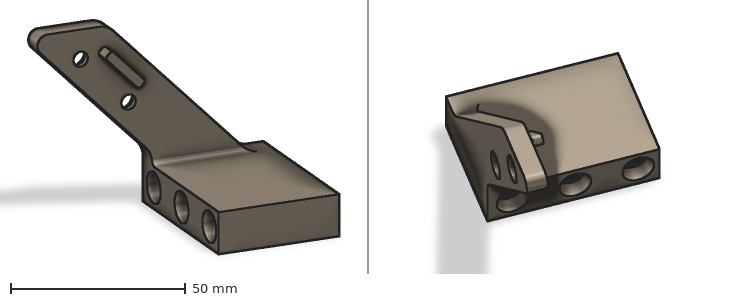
import cadquery as cq
import math

base_length = 52.05
base_depth = 38.1
base_height = 12.8

arm_thickness = 6.3
total_height = 57.2
total_depth = 74.25
arm_bend_radius = 6.35
arm_tip_radius = 3.2
upper_edge_sum = 43.1
root_fillet = 2.0

base_hole_diameter = 5.1
base_bore_diameter = 9.5
base_bore_depth = 5.0
base_hole_count = 3
base_hole_spacing = 19.0
first_base_hole_x = 7.6

arm_hole_diameter = 4.5
arm_bore_diameter = 8.25
arm_bore_depth = 4.0
arm_hole_mid_y = -14.9
arm_hole_mid_z = 40.6
arm_hole_offset = 7.6

key_length = 15.3
key_width = 3.1
key_corner_radius = 1.2
key_height = 5.1
key_shift = 4.2


def make_arm_prism(thickness):
    """Extrude the arm outline along X, with its bends and tip rounded."""
    foot = (upper_edge_sum - base_height, base_height)
    shoulder = (upper_edge_sum - total_height, total_height)
    tip_setback = arm_tip_radius / math.tan(math.radians(22.5))
    tip_y = base_depth - total_depth + arm_tip_radius - tip_setback
    tip = (tip_y, total_height)
    lower_bend = (0, total_height + tip_y)
    prism = (
        cq.Workplane("YZ")
        .polyline([(0, 0), (base_depth, 0), (base_depth, base_height), foot, shoulder, tip, lower_bend])
        .close()
        .extrude(thickness)
    )
    for corners, radius in (([foot, shoulder, lower_bend], arm_bend_radius), ([tip], arm_tip_radius)):
        for y, z in corners:
            edge = cq.selectors.NearestToPointSelector((thickness / 2, y, z))
            prism = prism.edges("|X").edges(edge).fillet(radius)
    return prism


def make_root_fillet():
    """Concave strip between arm and base, mitred where the arm outline runs out."""
    outer_x = arm_thickness + root_fillet
    top_z = base_height + root_fillet
    bulge = root_fillet * (1 - math.sqrt(0.5))
    strip = (
        cq.Workplane("XZ")
        .moveTo(0, base_height)
        .lineTo(outer_x, base_height)
        .threePointArc((arm_thickness + bulge, base_height + bulge), (arm_thickness, top_z))
        .lineTo(0, top_z)
        .close()
        .extrude(-base_depth)
    )
    return strip.intersect(make_arm_prism(outer_x))


def make_key():
    return (
        cq.Workplane("YZ", origin=(arm_thickness, 0, 0))
        .center(arm_hole_mid_y + key_shift, arm_hole_mid_z + key_shift)
        .transformed(rotate=(0, 0, -45))
        .rect(key_length, key_width)
        .extrude(key_height)
        .edges("|X")
        .fillet(key_corner_radius)
    )


def cut_base_holes(body):
    positions = [
        (first_base_hole_x + i * base_hole_spacing, base_height / 2) for i in range(base_hole_count)
    ]
    front = cq.Workplane("XZ").pushPoints(positions)
    holes = front.circle(base_hole_diameter / 2).extrude(-base_depth)
    bores = front.circle(base_bore_diameter / 2).extrude(-base_bore_depth)
    return body.cut(holes).cut(bores)


def cut_arm_holes(body):
    positions = [
        (arm_hole_mid_y + side * arm_hole_offset, arm_hole_mid_z - side * arm_hole_offset)
        for side in (-1, 1)
    ]
    left = cq.Workplane("YZ").pushPoints(positions)
    holes = left.circle(arm_hole_diameter / 2).extrude(arm_thickness)
    bores = left.circle(arm_bore_diameter / 2).extrude(arm_bore_depth)
    return body.cut(holes).cut(bores)


base = cq.Workplane("XY").box(base_length, base_depth, base_height, centered=False)
body = base.union(make_arm_prism(arm_thickness)).union(make_root_fillet()).union(make_key())
result = cut_arm_holes(cut_base_holes(body))